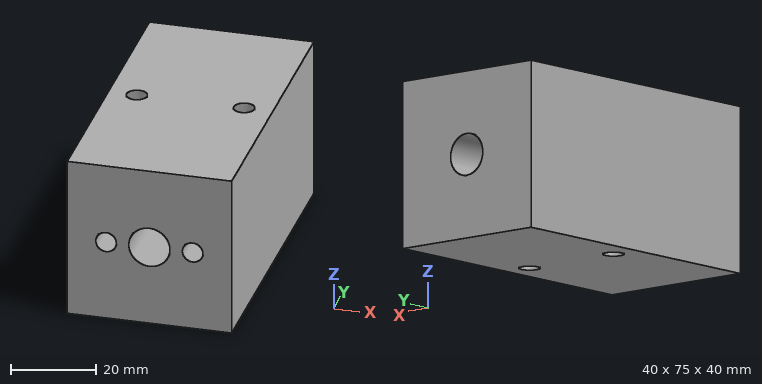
import cadquery as cq

length = 75.0
width = 40.0
height = width

bore_diameter = 10.0
small_hole_diameter = bore_diameter / 2
blind_hole_spacing = 21.0
blind_hole_depth = 20.0

vertical_hole_spacing = 26.0


def hole_pair(face, spacing):
    """Place two points on a face, symmetric about its centre along X."""
    return face.pushPoints([(-spacing / 2, 0), (spacing / 2, 0)])


block = cq.Workplane("XY").box(width, length, height)
block = block.faces("<Y").workplane(centerOption="CenterOfBoundBox").hole(bore_diameter)

front_face = block.faces("<Y").workplane(centerOption="CenterOfBoundBox")
block = hole_pair(front_face, blind_hole_spacing).hole(small_hole_diameter, blind_hole_depth)

top_face = block.faces(">Z").workplane(centerOption="CenterOfBoundBox")
result = hole_pair(top_face, vertical_hole_spacing).hole(small_hole_diameter)